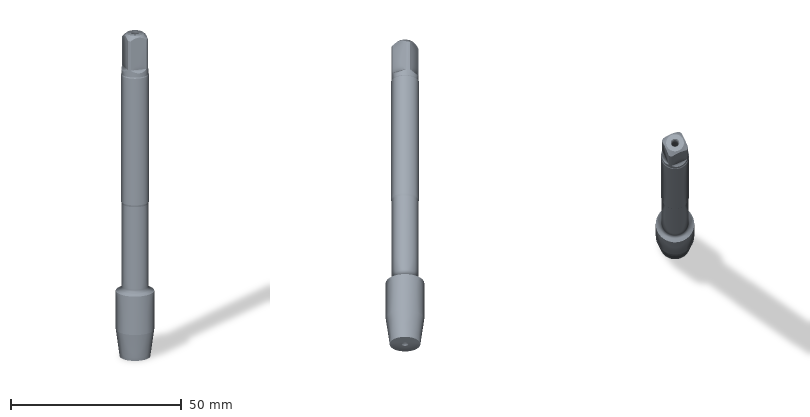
import cadquery as cq

LENGTH = 100.0
BORE_RADIUS = 2.0 / 2

HEAD_RADIUS = 11.3 / 2
LEAD_TIP_RADIUS = 4.5
LEAD_LENGTH = 8.4
HEAD_LENGTH = 20.0

SHOULDER_RIM_HEIGHT = 0.3
SHOULDER_RADIUS = 4.5
SHOULDER_CONE_TOP = HEAD_LENGTH + 0.9
NECK_FILLET_RADIUS = 0.9

NECK_RADIUS = 7.9 / 2
SHANK_RADIUS = 8.2 / 2
NECK_TOP = 47.4
SHANK_BOTTOM = 48.0
SHANK_TOP = 87.2
DRIVE_STEP_HEIGHT = 0.3
DRIVE_RADIUS = 7.9 / 2

SQUARE_WIDTH = 6.2
SQUARE_BOTTOM = 89.6
TIP_RADIUS = 2.6
TIP_CONE_HEIGHT = DRIVE_RADIUS - TIP_RADIUS

COUNTERSINK_RADIUS = 2.5 / 2
COUNTERSINK_DEPTH = 0.5


def bored(body):
    """Cut the axial bore through a body."""
    bore = cq.Workplane("XY").circle(BORE_RADIUS).extrude(LENGTH)
    return body.cut(bore)


def make_cutting_head():
    """Tapered cutting head."""
    profile = (
        cq.Workplane("XZ")
        .lineTo(LEAD_TIP_RADIUS, 0)
        .lineTo(HEAD_RADIUS, LEAD_LENGTH)
        .lineTo(HEAD_RADIUS, HEAD_LENGTH)
        .lineTo(0, HEAD_LENGTH)
        .close()
    )
    return bored(profile.revolve(360, (0, 0, 0), (0, 1, 0)))


def make_drive_envelope():
    """Square prism that widens at 45 degrees below the drive flats."""
    square_length = LENGTH - SQUARE_BOTTOM
    flare_height = SHANK_RADIUS - SQUARE_WIDTH / 2
    flare_bottom = SQUARE_BOTTOM - flare_height
    prism = cq.Workplane("XY", origin=(0, 0, SQUARE_BOTTOM)).rect(SQUARE_WIDTH, SQUARE_WIDTH)
    flare = (
        cq.Workplane("XY", origin=(0, 0, flare_bottom))
        .rect(2 * SHANK_RADIUS, 2 * SHANK_RADIUS)
        .workplane(offset=flare_height)
        .rect(SQUARE_WIDTH, SQUARE_WIDTH)
        .loft(ruled=True)
    )
    lower_length = flare_bottom - HEAD_LENGTH
    lower = (
        cq.Workplane("XY", origin=(0, 0, HEAD_LENGTH))
        .rect(2 * HEAD_RADIUS, 2 * HEAD_RADIUS)
        .extrude(lower_length)
    )
    return prism.extrude(square_length).union(flare).union(lower)


def make_shank():
    """Stepped shank with a filleted neck and a square drive."""
    fillet_top = SHOULDER_CONE_TOP + NECK_FILLET_RADIUS
    profile = (
        cq.Workplane("XZ", origin=(0, 0, HEAD_LENGTH))
        .lineTo(HEAD_RADIUS, 0)
        .lineTo(HEAD_RADIUS, SHOULDER_RIM_HEIGHT)
        .lineTo(SHOULDER_RADIUS, SHOULDER_CONE_TOP - HEAD_LENGTH)
        .radiusArc((NECK_RADIUS, fillet_top - HEAD_LENGTH), NECK_FILLET_RADIUS)
        .lineTo(NECK_RADIUS, NECK_TOP - HEAD_LENGTH)
        .lineTo(SHANK_RADIUS, SHANK_BOTTOM - HEAD_LENGTH)
        .lineTo(SHANK_RADIUS, SHANK_TOP - HEAD_LENGTH)
        .lineTo(DRIVE_RADIUS, SHANK_TOP + DRIVE_STEP_HEIGHT - HEAD_LENGTH)
        .lineTo(DRIVE_RADIUS, LENGTH - TIP_CONE_HEIGHT - HEAD_LENGTH)
        .lineTo(TIP_RADIUS, LENGTH - HEAD_LENGTH)
        .lineTo(0, LENGTH - HEAD_LENGTH)
        .close()
    )
    turned = profile.revolve(360, (0, 0, 0), (0, 1, 0))
    countersink = (
        cq.Workplane("XY", origin=(0, 0, LENGTH))
        .circle(COUNTERSINK_RADIUS)
        .workplane(offset=-COUNTERSINK_DEPTH)
        .circle(BORE_RADIUS)
        .loft(ruled=True)
    )
    return bored(turned.intersect(make_drive_envelope())).cut(countersink)


cutting_head = make_cutting_head()
shank = make_shank()

result = cq.Compound.makeCompound([cutting_head.val(), shank.val()])